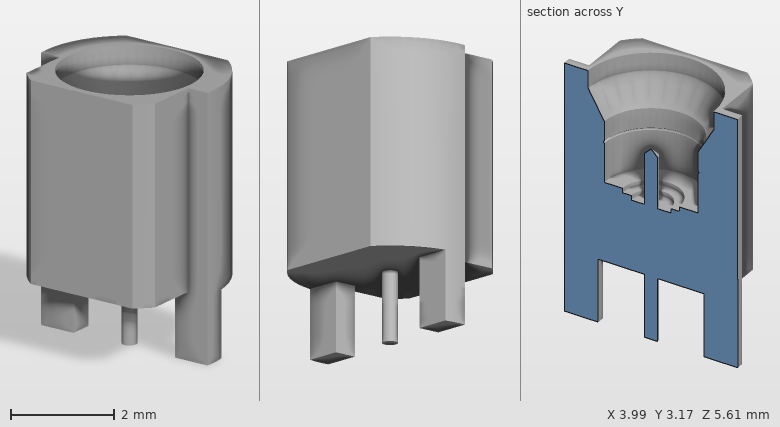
import cadquery as cq
import math

total_height = 5.61
leg_length = 1.42
housing_height = total_height - leg_length

outer_radius = 1.995
flat_distance = 1.585
front_half_width = 1.53
shoulder_y = -0.17
leg_thickness = 0.49
leg_overlap = 0.5

mouth_radius = 1.44
bore_radius = 1.07
mouth_depth = 0.40
cone_depth = 1.03
groove_depth = 1.47
groove_height = 0.05
groove_radial_depth = 0.03
bore_depth = 2.4

floor_steps = [(0.65, 0.1), (0.45, 0.1)]

pin_radius = 0.155
pin_tip_depth = 1.3
pin_tip_height = 0.15


def half_chord(distance):
    """Half length of the outer circle's chord at a distance from the axis."""
    return math.sqrt(outer_radius**2 - distance**2)


def box_between(x_range, y_range, z_range):
    """Box spanning the given ranges along X, Y and Z."""
    ranges = (x_range, y_range, z_range)
    sizes = [high - low for low, high in ranges]
    corner = tuple(low for low, _ in ranges)
    return cq.Workplane("XY").box(*sizes, centered=False).translate(corner)


def make_housing():
    """Round body with front and back flats, narrowed in front of the shoulder."""
    z_range = (leg_length, total_height)
    body = cq.Workplane("XY").workplane(offset=leg_length).circle(outer_radius).extrude(housing_height)
    back = box_between((-outer_radius, outer_radius), (shoulder_y, flat_distance), z_range)
    front = box_between((-front_half_width, front_half_width), (-flat_distance, shoulder_y), z_range)
    return body.intersect(back.union(front))


def make_legs():
    """Two legs whose outer faces continue the round side of the housing."""
    leg_inner_x = half_chord(flat_distance)
    y_range = (shoulder_y, shoulder_y + leg_thickness)
    z_range = (0, leg_length + leg_overlap)
    right_leg = box_between((leg_inner_x, outer_radius), y_range, z_range)
    left_leg = right_leg.mirror("YZ")
    round_side = cq.Workplane("XY").circle(outer_radius).extrude(total_height)
    return right_leg.union(left_leg).intersect(round_side)


def make_bore():
    """Revolved cavity: wide mouth, cone, snap groove, bore and stepped floor."""
    groove_top = total_height - groove_depth
    groove_bottom = groove_top - groove_height
    floor_z = total_height - bore_depth
    profile = [
        (0, total_height),
        (mouth_radius, total_height),
        (mouth_radius, total_height - mouth_depth),
        (bore_radius, total_height - cone_depth),
        (bore_radius, groove_top),
        (bore_radius + groove_radial_depth, (groove_top + groove_bottom) / 2),
        (bore_radius, groove_bottom),
        (bore_radius, floor_z),
    ]
    for step_radius, step_depth in floor_steps:
        profile.append((step_radius, floor_z))
        floor_z -= step_depth
        profile.append((step_radius, floor_z))
    profile.append((0, floor_z))
    return cq.Workplane("XZ").polyline(profile).close().revolve(360, (0, 0, 0), (0, 1, 0))


def make_pin():
    """Straight round pin with a conical tip, running through the housing floor."""
    tip_z = total_height - pin_tip_depth
    profile = [
        (0, 0),
        (pin_radius, 0),
        (pin_radius, tip_z - pin_tip_height),
        (0, tip_z),
    ]
    return cq.Workplane("XZ").polyline(profile).close().revolve(360, (0, 0, 0), (0, 1, 0))


result = make_housing().union(make_legs()).cut(make_bore()).union(make_pin())